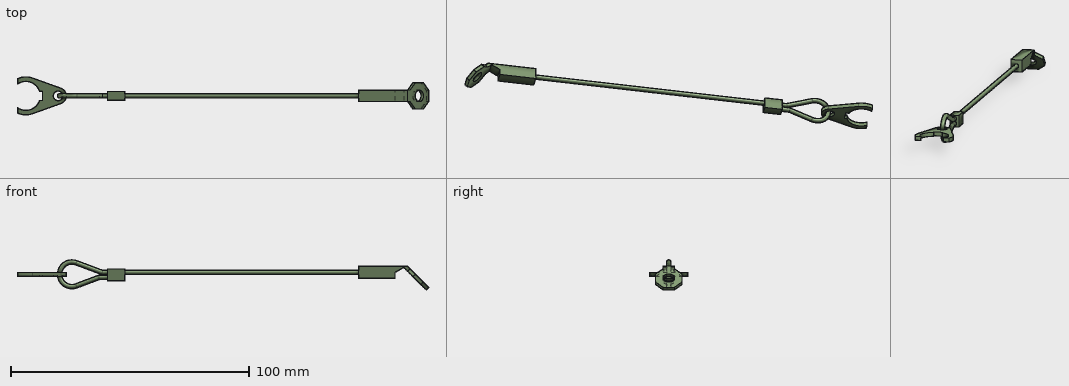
import cadquery as cq
import math

fork_thickness = 1.7
jaw_x = 3.5
jaw_outer_radius = 8.03
jaw_inner_radius = 6.0
notch_end_x = 10.4
notch_width = 3.8
eye_x = 17.0
eye_radius = 1.98
tail_radius = 3.5

cable_diameter = 1.9
cable_z = 0.78
strand_spacing = 2.0
loop_x = 22.8
loop_z = 0.0
loop_radius = 5.2
loop_slope = math.radians(20.5)
ferrule_start_x = 37.6
ferrule_length = 7.5
ferrule_width = 3.8
ferrule_height = 5.0

lug_start_x = 143.0
lug_width = 4.8
lug_top_z = 3.5
lug_bottom_z = -1.7
block_end_x = 158.5
block_step_z = 0.78
undercut_end_x = 162.0
bend_x = 163.6
tip_x = 172.6
tab_thickness = 1.52
tab_angle = math.radians(45)
octagon_width = 11.2
lug_hole_diameter = 4.8


def make_fork():
    tangent_sine = (jaw_outer_radius - tail_radius) / (eye_x - jaw_x)
    tangent_cosine = math.sqrt(1 - tangent_sine**2)
    jaw_tangent = (jaw_x + jaw_outer_radius * tangent_sine, jaw_outer_radius * tangent_cosine)
    tail_tangent = (eye_x + tail_radius * tangent_sine, tail_radius * tangent_cosine)
    arm_end_y = math.sqrt(jaw_outer_radius**2 - jaw_x**2)
    base = cq.Workplane("XY", origin=(0, 0, -fork_thickness / 2))
    plate = (
        base.moveTo(0, arm_end_y)
        .threePointArc((jaw_x, jaw_outer_radius), jaw_tangent)
        .lineTo(*tail_tangent)
        .threePointArc((eye_x + tail_radius, 0), (tail_tangent[0], -tail_tangent[1]))
        .lineTo(jaw_tangent[0], -jaw_tangent[1])
        .threePointArc((jaw_x, -jaw_outer_radius), (0, -arm_end_y))
        .close()
        .extrude(fork_thickness)
    )
    jaw = base.center(jaw_x, 0).circle(jaw_inner_radius).extrude(fork_thickness)
    notch_length = notch_end_x - jaw_x
    notch = (
        base.center(jaw_x + notch_length / 2, 0)
        .rect(notch_length, notch_width)
        .extrude(fork_thickness)
    )
    eye = base.center(eye_x, 0).circle(eye_radius).extrude(fork_thickness)
    return plate.cut(jaw).cut(notch).cut(eye)


def make_cable():
    lower_z = cable_z - strand_spacing
    ferrule_x = ferrule_start_x + ferrule_length / 2
    ferrule_z = (cable_z + lower_z) / 2
    arc_end_x = loop_x + loop_radius * math.sin(loop_slope)
    arc_rise = loop_radius * math.cos(loop_slope)
    upper_run = (loop_z + arc_rise - cable_z) / math.tan(loop_slope)
    lower_run = (lower_z - loop_z + arc_rise) / math.tan(loop_slope)
    path = (
        cq.Workplane("XZ")
        .moveTo(lug_start_x, cable_z)
        .lineTo(arc_end_x + upper_run, cable_z)
        .lineTo(arc_end_x, loop_z + arc_rise)
        .threePointArc((loop_x - loop_radius, loop_z), (arc_end_x, loop_z - arc_rise))
        .lineTo(arc_end_x + lower_run, lower_z)
        .lineTo(ferrule_x, lower_z)
    )
    rope = (
        cq.Workplane("YZ", origin=(lug_start_x, 0, cable_z))
        .circle(cable_diameter / 2)
        .sweep(path, transition="round")
    )
    ferrule = cq.Workplane("XY", origin=(ferrule_x, 0, ferrule_z)).box(
        ferrule_length, ferrule_width, ferrule_height
    )
    return rope.union(ferrule)


def make_lug():
    along_x = math.cos(tab_angle)
    along_z = -math.sin(tab_angle)
    tab_length = (tip_x - bend_x) / along_x
    neck_end = tab_length - octagon_width / 2
    inner_x = bend_x + tab_thickness * along_z
    inner_z = lug_top_z - tab_thickness * along_x
    undercut_end_z = inner_z + (inner_x - undercut_end_x) * math.tan(tab_angle)
    body = (
        cq.Workplane("XZ")
        .moveTo(lug_start_x, lug_bottom_z)
        .lineTo(block_end_x, lug_bottom_z)
        .lineTo(block_end_x, block_step_z)
        .lineTo(undercut_end_x, undercut_end_z)
        .lineTo(inner_x + neck_end * along_x, inner_z + neck_end * along_z)
        .lineTo(bend_x + neck_end * along_x, lug_top_z + neck_end * along_z)
        .lineTo(bend_x, lug_top_z)
        .lineTo(lug_start_x, lug_top_z)
        .close()
        .extrude(lug_width / 2, both=True)
    )
    tab_plane = cq.Plane(
        origin=(bend_x + neck_end * along_x, 0, lug_top_z + neck_end * along_z),
        xDir=(along_x, 0, along_z),
        normal=(-along_z, 0, along_x),
    )
    corner_radius = octagon_width / 2 / math.cos(math.pi / 8)
    corner_angles = [math.pi / 8 + i * math.pi / 4 for i in range(8)]
    corners = [(corner_radius * math.cos(a), corner_radius * math.sin(a)) for a in corner_angles]
    octagon = cq.Workplane(tab_plane).polyline(corners).close().extrude(-tab_thickness)
    hole = cq.Workplane(tab_plane).circle(lug_hole_diameter / 2).extrude(-tab_thickness)
    return body.union(octagon).cut(hole)


fork = make_fork()
cable = make_cable()
lug = make_lug()
bodies = [fork, cable, lug]
result = cq.Compound.makeCompound([body.solids().val() for body in bodies])